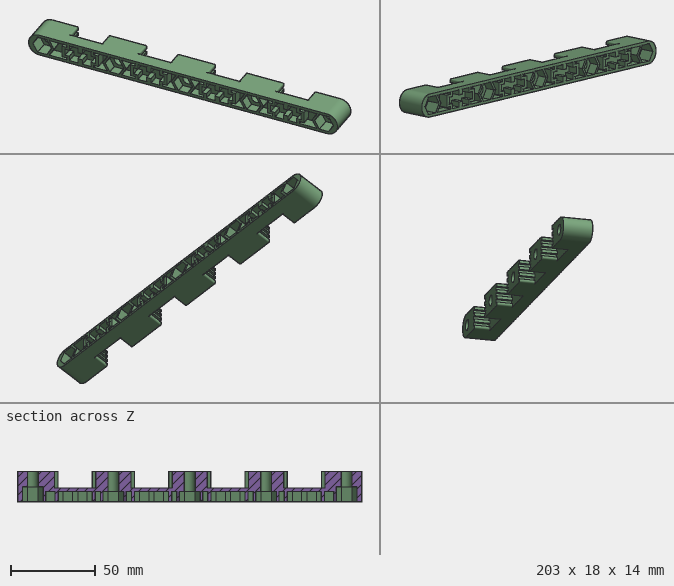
import cadquery as cq

LENGTH = 203.0
DEPTH = 18.0
HEIGHT = 14.0
RIM = 1.8

BAY_PITCH = 45.0
END_HOLE_X = 92.5
HOLE_DIAMETER = 6.3
NUT_DIAMETER = 12.2
NUT_WALL = 1.6
END_NUT_DEPTH = 9.0

POCKET_DEPTH = 6.0
TAB_WIDTH = 3.0
SOCKET_WIDTH = 19.9
SOCKET_HEIGHT = 4.3
NECK_WIDTH = 14.2
BRACKET_WALL_X = 2.0
BRACKET_WALL_Z = 1.6
NECK_WALL = 1.8

NOTCH_WIDTH = 20.0
NOTCH_DEPTH = 9.7
GROOVE_DEPTH = 2.0
GROOVE_HEIGHT = 2.0
GROOVE_PITCH = 3.9
GROOVE_COUNT = 3
EDGE_RADIUS = 1.0

FRONT_Y = -DEPTH / 2
REAR_Y = DEPTH / 2
NOTCH_FLOOR_Y = REAR_Y - NOTCH_DEPTH
POCKET_HEIGHT = HEIGHT - 2 * RIM
BAY_CENTERS = [(i - 1.5) * BAY_PITCH for i in range(4)]
INNER_HOLES = [(x, 0) for x in (-BAY_PITCH, 0, BAY_PITCH)]
END_HOLES = [(-END_HOLE_X, 0), (END_HOLE_X, 0)]
ALL_HOLES = INNER_HOLES + END_HOLES


def front_plane(y):
    """Sketch plane facing -Y: local x is X, local y is Z."""
    return cq.Workplane("XZ", origin=(0, y, 0))


def block(x_size, z_size, x, z, y_start, y_size):
    """Box centred at (x, z) that runs from y_start toward +Y."""
    return front_plane(y_start).center(x, z).rect(x_size, z_size).extrude(-y_size)


def hexagons(centers, corner_diameter, depth):
    """Hexagonal prisms at the given holes, reaching in from the front face."""
    return front_plane(FRONT_Y).pushPoints(centers).polygon(6, corner_diameter).extrude(-depth)


def socket_walls(x):
    """Bracket walls and middle tabs that stay standing in the pocket of one bay."""
    def pocket_block(width, height):
        return block(width, height, x, 0, FRONT_Y, POCKET_DEPTH)

    outside = pocket_block(SOCKET_WIDTH + 2 * BRACKET_WALL_X, SOCKET_HEIGHT + 2 * BRACKET_WALL_Z)
    outside = outside.union(pocket_block(NECK_WIDTH + 2 * NECK_WALL, POCKET_HEIGHT))
    tabs = pocket_block(TAB_WIDTH, POCKET_HEIGHT)
    inside = pocket_block(NECK_WIDTH, POCKET_HEIGHT).cut(tabs)
    inside = inside.union(pocket_block(SOCKET_WIDTH, SOCKET_HEIGHT))
    return outside.cut(inside)


def front_pockets():
    """Pocket between the end holes, less the nut walls and socket walls."""
    pocket = block(2 * END_HOLE_X, POCKET_HEIGHT, 0, 0, FRONT_Y, POCKET_DEPTH)
    pocket = pocket.cut(hexagons(ALL_HOLES, NUT_DIAMETER + 2 * NUT_WALL, POCKET_DEPTH))
    for x in BAY_CENTERS:
        pocket = pocket.cut(socket_walls(x))
    return pocket


def rear_notch(x):
    """Notch of one bay: flared top and bottom edges, grooves along both sides."""
    half = NOTCH_WIDTH / 2
    flared = half + EDGE_RADIUS
    arc_z = HEIGHT / 2 - EDGE_RADIUS
    notch = (
        front_plane(NOTCH_FLOOR_Y)
        .center(x, 0)
        .moveTo(half, -arc_z)
        .lineTo(half, arc_z)
        .radiusArc((flared, HEIGHT / 2), EDGE_RADIUS)
        .lineTo(-flared, HEIGHT / 2)
        .radiusArc((-half, arc_z), EDGE_RADIUS)
        .lineTo(-half, -arc_z)
        .radiusArc((-flared, -HEIGHT / 2), EDGE_RADIUS)
        .lineTo(flared, -HEIGHT / 2)
        .radiusArc((half, -arc_z), EDGE_RADIUS)
        .close()
        .extrude(-NOTCH_DEPTH)
    )
    for i in range(GROOVE_COUNT):
        z = (i - (GROOVE_COUNT - 1) / 2) * GROOVE_PITCH
        groove_span = NOTCH_WIDTH + 2 * GROOVE_DEPTH
        notch = notch.union(block(groove_span, GROOVE_HEIGHT, x, z, NOTCH_FLOOR_Y, NOTCH_DEPTH))
    return notch


bar = front_plane(FRONT_Y).slot2D(LENGTH, HEIGHT).extrude(-DEPTH)

bar = bar.cut(front_pockets())
bar = bar.cut(hexagons(INNER_HOLES, NUT_DIAMETER, POCKET_DEPTH))
bar = bar.cut(hexagons(END_HOLES, NUT_DIAMETER, END_NUT_DEPTH))
bar = bar.cut(front_plane(FRONT_Y).pushPoints(ALL_HOLES).circle(HOLE_DIAMETER / 2).extrude(-DEPTH))

for bay_x in BAY_CENTERS:
    bar = bar.cut(rear_notch(bay_x))

result = bar